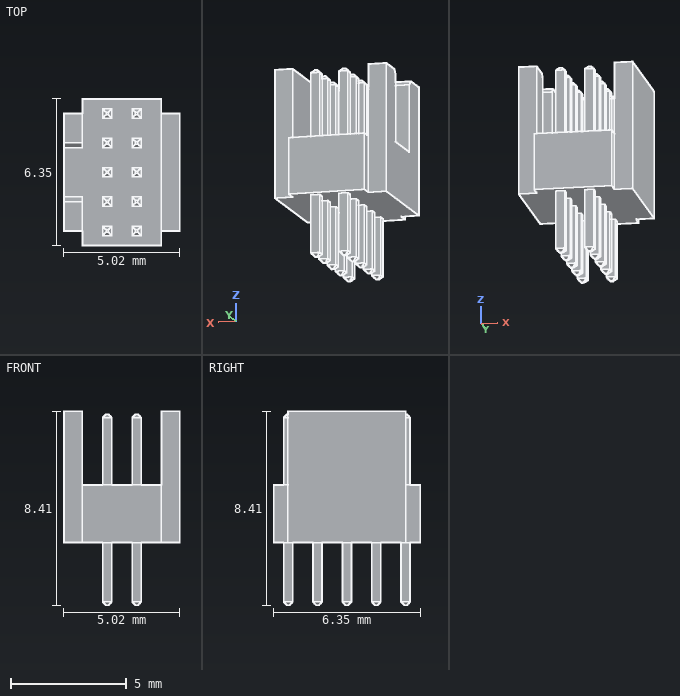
import cadquery as cq

overall_width = 5.02
base_length = 6.35
base_height = 2.5
wall_thickness = 0.8
wall_length = 5.1
wall_height = 5.69

notch_width = 2.14
notch_chamfer = 0.2

row_pitch = 1.27
column_pitch = 1.275
pin_rows = 5
pin_columns = 2
pin_side = 0.4
pin_tip_chamfer = 0.15
pin_below_base = 2.72
pin_top_setback = 0.13

base_width = overall_width - 2 * wall_thickness
wall_center_x = (overall_width - wall_thickness) / 2
pin_top = wall_height - pin_top_setback
pin_length = pin_below_base + pin_top


def upright_box(size_x, size_y, size_z, center_x=0):
    """Box standing on Z = 0, centred on Y = 0."""
    return cq.Workplane("XY").center(center_x, 0).rect(size_x, size_y).extrude(size_z)


def notch_cutter():
    """Notch profile in the YZ plane, flared at its mouth, cut through the wall thickness."""
    half_width = notch_width / 2
    half_mouth = half_width + notch_chamfer
    flare_start = wall_height - notch_chamfer
    profile = [
        (-half_width, base_height),
        (half_width, base_height),
        (half_width, flare_start),
        (half_mouth, wall_height),
        (-half_mouth, wall_height),
        (-half_width, flare_start),
    ]
    return (
        cq.Workplane("YZ", origin=(-overall_width / 2, 0, 0))
        .polyline(profile)
        .close()
        .extrude(wall_thickness)
    )


def housing():
    base = upright_box(base_width, base_length, base_height)
    notched_wall = upright_box(wall_thickness, wall_length, wall_height, -wall_center_x).cut(notch_cutter())
    plain_wall = upright_box(wall_thickness, wall_length, wall_height, wall_center_x)
    return base.union(notched_wall).union(plain_wall)


def pins():
    """Square pins through the base, bevelled to a blunt point at both ends."""
    return (
        cq.Workplane("XY", origin=(0, 0, -pin_below_base))
        .rarray(column_pitch, row_pitch, pin_columns, pin_rows)
        .rect(pin_side, pin_side)
        .extrude(pin_length)
        .faces("<Z or >Z")
        .chamfer(pin_tip_chamfer)
    )


result = housing().union(pins())